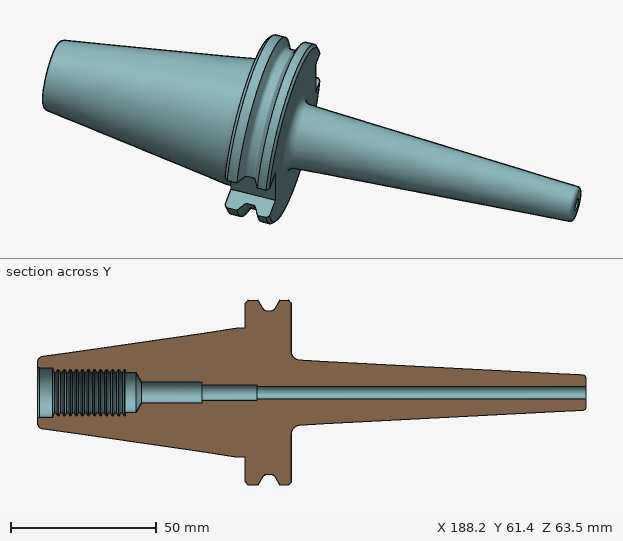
import cadquery as cq
import math

overall_length = 188.2
taper_length = 68.3
tip_x = overall_length - taper_length
taper_start_x = -taper_length

gauge_radius = 44.5 / 2
taper_ratio = 7 / 24
taper_end_radius = gauge_radius - taper_length * taper_ratio / 2
taper_end_fillet = 2.0

flange_radius = 63.5 / 2
flange_start_x = 2.8
flange_end_x = 18.8
flange_start_chamfer = 1.1
flange_end_chamfer = 1.0
groove_center_x = 11.1
groove_root_radius = 56.3 / 2
groove_root_width = 3.2
groove_root_fillet = 1.1
groove_flank_angle = 30.0

slot_width = 16.2
slot_floor_front = 22.8
slot_floor_back = 24.8

shank_angle = 3.0
shank_tip_radius = 12.2 / 2
shank_length = tip_x - flange_end_x
shank_root_radius = shank_tip_radius + shank_length * math.tan(math.radians(shank_angle))
shank_root_fillet = 3.0
shank_tip_fillet = 1.3

mouth_radius = 17.7 / 2
mouth_depth = 0.8
counterbore_radius = 16.8 / 2
counterbore_depth = 5.3
thread_radius = 15.8 / 2
thread_pitch = 2.0
thread_turns = 12
crest_width = thread_pitch / 4
root_width = thread_pitch / 8
flank_run = (thread_pitch - crest_width - root_width) / 2
core_radius = 13.5 / 2
core_depth = 33.9
inner_bore_radius = 7.0 / 2
inner_bore_depth = 56.5
neck_radius = 5.0 / 2
neck_depth = 75.3
through_radius = 4.1 / 2
drill_tip_angle = 30.0


def revolve_about_x(points):
    return cq.Workplane("XY").polyline(points).close().revolve(360, (0, 0, 0), (1, 0, 0))


def make_taper():
    profile = [
        (taper_start_x, 0),
        (taper_start_x, taper_end_radius),
        (0, gauge_radius),
        (flange_start_x, gauge_radius),
        (flange_start_x, 0),
    ]
    return revolve_about_x(profile).faces("<X").edges().fillet(taper_end_fillet)


def make_flange():
    width = flange_end_x - flange_start_x
    disk = cq.Workplane("YZ", origin=(flange_start_x, 0, 0)).circle(flange_radius).extrude(width)
    disk = disk.faces("<X").edges().chamfer(flange_start_chamfer)
    return disk.faces(">X").edges().chamfer(flange_end_chamfer)


def make_gripper_groove():
    wall_run = (flange_radius - groove_root_radius) * math.tan(math.radians(groove_flank_angle))
    root_half = groove_root_width / 2
    top_half = root_half + wall_run
    profile = [
        (groove_center_x - top_half, flange_radius),
        (groove_center_x - root_half, groove_root_radius),
        (groove_center_x + root_half, groove_root_radius),
        (groove_center_x + top_half, flange_radius),
    ]
    inner_corners = cq.selectors.RadiusNthSelector(0)
    return revolve_about_x(profile).edges(inner_corners).fillet(groove_root_fillet)


def make_shank():
    profile = [
        (flange_end_x, 0),
        (flange_end_x, shank_root_radius),
        (tip_x, shank_tip_radius),
        (tip_x, 0),
    ]
    return revolve_about_x(profile).faces(">X").edges().fillet(shank_tip_fillet)


def make_drive_slot(floor, side):
    depth = flange_radius - floor
    length = flange_end_x - flange_start_x
    center = (flange_start_x + length / 2, side * (floor + depth / 2), 0)
    return cq.Workplane("XY").box(length, depth, slot_width).translate(center)


def make_bore():
    x0 = taper_start_x
    core_tip = (core_radius - inner_bore_radius) * math.tan(math.radians(drill_tip_angle))
    profile = [
        (x0, 0),
        (x0, mouth_radius),
        (x0 + mouth_depth, counterbore_radius),
        (x0 + counterbore_depth, counterbore_radius),
        (x0 + counterbore_depth, core_radius),
        (x0 + core_depth, core_radius),
        (x0 + core_depth + core_tip, inner_bore_radius),
        (x0 + inner_bore_depth, inner_bore_radius),
        (x0 + inner_bore_depth, neck_radius),
        (x0 + neck_depth, neck_radius),
        (x0 + neck_depth, through_radius),
        (tip_x, through_radius),
        (tip_x, 0),
    ]
    return revolve_about_x(profile)


def make_thread_rings():
    """Row of rings with sloped flanks that stands for the drawbar thread."""
    start_x = taper_start_x + counterbore_depth
    profile = [(start_x, 0), (start_x, thread_radius)]
    for turn in range(thread_turns):
        ring_x = start_x + turn * thread_pitch
        profile.append((ring_x + flank_run, core_radius))
        profile.append((ring_x + flank_run + crest_width, core_radius))
        profile.append((ring_x + 2 * flank_run + crest_width, thread_radius))
        profile.append((ring_x + thread_pitch, thread_radius))
    profile.append((start_x + thread_turns * thread_pitch, 0))
    return revolve_about_x(profile)


flange = make_flange().cut(make_gripper_groove())
flange = flange.cut(make_drive_slot(slot_floor_front, -1))
flange = flange.cut(make_drive_slot(slot_floor_back, 1))

body = make_taper().union(flange).union(make_shank())
selection_margin = 0.2
root_reach = shank_root_radius + selection_margin
shank_root = cq.selectors.BoxSelector(
    (flange_end_x - selection_margin, -root_reach, -root_reach),
    (flange_end_x + selection_margin, root_reach, root_reach),
    boundingbox=True,
)
body = body.edges(shank_root).fillet(shank_root_fillet)

result = body.cut(make_bore()).cut(make_thread_rings())